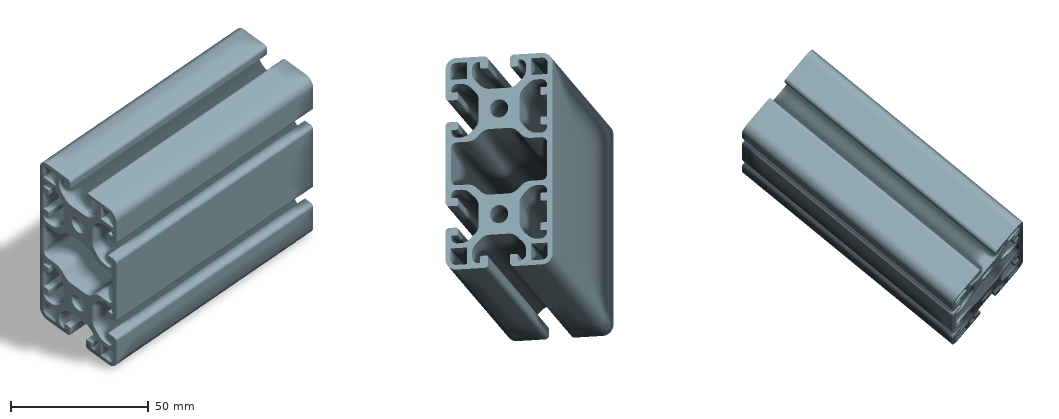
import cadquery as cq
import math

cell = 40.0
length = 100.0
half_cell = cell / 2
corner_radius = 4.0

wall = 2.0
rib = 1.8
core_half = 7.6
bend_radius = 5.0
screw_bore_diameter = 6.8

mouth_half = 4.1
lip_inner_half = 7.1
lip_depth = 4.6
slot_half = 10.1
slot_chamfer = 4.6
mouth_radius = 1.4
lip_radius = 0.6
undercut_inner_radius = 0.5
undercut_outer_radius = 2.4
overshoot = 1.0

corner_hollow_radius = 2.2

chamber_corner_radius = 2.2


def toward(start, end, distance):
    """Point at the given distance from start on the way to end."""
    span = math.dist(start, end)
    return tuple(a + (b - a) * distance / span for a, b in zip(start, end))


def round_corner(before, corner, after, radius):
    """Start, middle and end of the arc that rounds a corner."""
    to_before = math.atan2(before[1] - corner[1], before[0] - corner[0])
    to_after = math.atan2(after[1] - corner[1], after[0] - corner[0])
    half_angle = abs(math.remainder(to_after - to_before, math.tau)) / 2
    setback = radius / math.tan(half_angle)
    start = toward(corner, before, setback)
    end = toward(corner, after, setback)
    chord_middle = tuple((a + b) / 2 for a, b in zip(start, end))
    middle = toward(corner, chord_middle, radius / math.sin(half_angle) - radius)
    return start, middle, end


def prism(corners):
    """Full-length prism from a closed outline of (x, z, corner radius) points."""
    outline = None
    for i, (x, z, radius) in enumerate(corners):
        start = middle = end = (x, z)
        if radius > 0:
            before = corners[i - 1][:2]
            after = corners[(i + 1) % len(corners)][:2]
            start, middle, end = round_corner(before, (x, z), after, radius)
        if outline is None:
            outline = cq.Workplane("XZ").moveTo(*start)
        else:
            outline = outline.lineTo(*start)
        if radius > 0:
            outline = outline.threePointArc(middle, end)
    return outline.close().extrude(length / 2, both=True)


def mirrored(half_outline):
    """Close a half outline with its mirror image across x = 0."""
    return half_outline + [(-x, z, radius) for x, z, radius in reversed(half_outline)]


def slot(is_open):
    """T-slot on the +Z side of a cell centred on the origin."""
    lip_end = half_cell - lip_depth
    ceiling = half_cell - wall
    if is_open:
        mouth_edge = mouth_half + mouth_radius + overshoot
        mouth = [
            (mouth_edge, half_cell + overshoot, 0),
            (mouth_edge, half_cell, 0),
            (mouth_half, half_cell, mouth_radius),
        ]
    else:
        mouth = [(mouth_half, ceiling, 0)]
    undercut = [
        (mouth_half, lip_end, lip_radius),
        (lip_inner_half, lip_end, lip_radius),
        (lip_inner_half, ceiling, undercut_inner_radius),
        (slot_half, ceiling, undercut_outer_radius),
        (slot_half, core_half + slot_chamfer, bend_radius),
        (slot_half - slot_chamfer, core_half, bend_radius),
    ]
    return prism(mirrored(mouth + undercut))


def corner_hollow(side):
    """Hollow in the upper corner of a cell, on the given X side (-1 or 1)."""
    inner = slot_half + rib
    outer = half_cell - rib
    return prism([
        (side * inner, inner, 0),
        (side * outer, inner, 0),
        (side * outer, outer, corner_hollow_radius),
        (side * inner, outer, 0),
    ])


def chamber():
    """Chamber between the cells, widest at the middle and reaching up to each core."""
    top = half_cell - core_half
    shoulder = half_cell - slot_half - rib
    side = half_cell - wall
    top_half = slot_half - slot_chamfer
    shoulder_half = top_half + top - shoulder
    right_half = [
        (top_half, top, bend_radius),
        (shoulder_half, shoulder, bend_radius),
        (side, shoulder, chamber_corner_radius),
    ]
    lower_right_half = [(x, -z, radius) for x, z, radius in reversed(right_half)]
    return prism(mirrored(right_half + lower_right_half))


def upper_cell_cuts():
    """Everything removed from the upper cell: slots, corner hollows and screw bore."""
    cuts = cq.Workplane("XZ").circle(screw_bore_diameter / 2).extrude(length / 2, both=True)
    cuts = cuts.add(slot(is_open=True))
    cuts = cuts.add(slot(is_open=True).rotate((0, 0, 0), (0, 1, 0), 90))
    cuts = cuts.add(slot(is_open=False).rotate((0, 0, 0), (0, 1, 0), -90))
    for side in (-1, 1):
        cuts = cuts.add(corner_hollow(side))
    return cuts.translate((0, 0, half_cell)).vals()


body = cq.Workplane("XY").box(cell, length, 2 * cell).edges("|Y").fillet(corner_radius)
result = body.cut(chamber())
for cut in upper_cell_cuts():
    result = result.cut(cq.Workplane(cut))
    result = result.cut(cq.Workplane(cut.mirror("XY")))